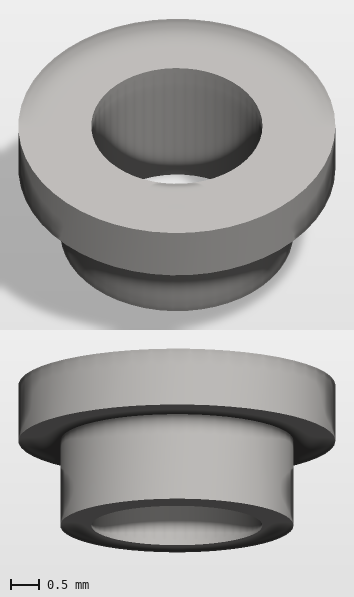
import cadquery as cq

flange_diameter = 5.56
sleeve_diameter = 4.09
bore_diameter = 3.0
total_height = 2.53
flange_thickness = 1.005
sleeve_length = total_height - flange_thickness

sleeve = cq.Workplane("XY").circle(sleeve_diameter / 2).extrude(sleeve_length)
flange = (
    cq.Workplane("XY")
    .workplane(offset=sleeve_length)
    .circle(flange_diameter / 2)
    .extrude(flange_thickness)
)

bore = cq.Workplane("XY").circle(bore_diameter / 2).extrude(total_height)

result = sleeve.union(flange).cut(bore)